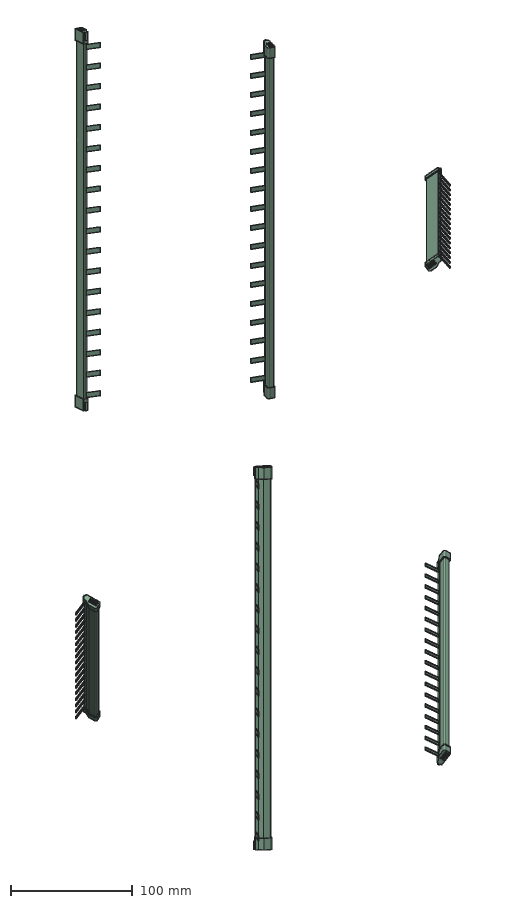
import cadquery as cq

overall_width = 14.83
overall_depth = 15.84
overall_length = 325.8
pin_length = 0.8

cap_length = 9.9
cap_width = 13.8
cap_depth = 6.8
cap_low_depth = 4.7
cap_front_radius = 0.9
cap_back_radius = 1.9
cap_right_chamfer = 0.4
crown_end = 7.4
slope_end = 11.2

recess_left = 1.3
recess_right = 9.0
recess_front = 1.2
recess_back = 4.4
recess_depth = 1.0
recess_rib = 1.0

key_length = 7.0
key_width = 1.5
key_centre_y = 2.4
key_overlap = 1.0

rail_inset = 0.9
rail_width = 13.5
rail_front_radius = 0.6
rail_back_radius = 1.1
rail_right_chamfer = 0.7

tab_count = 18
tab_pitch = 17.6
tab_height = 4.2
tab_thickness = 0.8
tab_lean = 1.3
tab_root_y = 3.0

pin_radius = 0.4
pin_x = 2.0
pin_y = 3.4

total_without_pin = overall_length - pin_length
rail_length = total_without_pin - 2 * cap_length


def section(inset, right, front_radius, back_radius, right_chamfer, z):
    """Domed cross-section with rounded left corners; all faces but the right are moved in by inset."""
    crown_y = cap_depth - inset
    low_y = cap_low_depth - inset
    return (
        cq.Workplane("XY", origin=(0, 0, z))
        .moveTo(inset + front_radius, inset)
        .lineTo(right - right_chamfer, inset)
        .lineTo(right, inset + right_chamfer)
        .lineTo(right, low_y)
        .lineTo(slope_end, low_y)
        .lineTo(crown_end, crown_y)
        .lineTo(inset + back_radius, crown_y)
        .radiusArc((inset, crown_y - back_radius), -back_radius)
        .lineTo(inset, inset + front_radius)
        .radiusArc((inset + front_radius, inset), -front_radius)
        .close()
    )


def block(x0, x1, y0, y1, z0, z1):
    """Box between two opposite corners."""
    size = (x1 - x0, y1 - y0, z1 - z0)
    return cq.Workplane("XY").box(*size, centered=False).translate((x0, y0, z0))


def end_cap(z_bottom, key_bottom, recess_bottom):
    body = section(
        0, cap_width, cap_front_radius, cap_back_radius, cap_right_chamfer, z_bottom
    ).extrude(cap_length)
    key = block(
        cap_width - key_overlap, overall_width,
        key_centre_y - key_width / 2, key_centre_y + key_width / 2,
        key_bottom, key_bottom + key_length,
    )
    recess_top = recess_bottom + recess_depth
    recess = block(recess_left, recess_right, recess_front, recess_back, recess_bottom, recess_top)
    rib_front = (recess_front + recess_back - recess_rib) / 2
    rib = block(
        recess_left, recess_right, rib_front, rib_front + recess_rib, recess_bottom, recess_top
    )
    return body.union(key).cut(recess.cut(rib))


def rail():
    return section(
        rail_inset, rail_width, rail_front_radius, rail_back_radius, rail_right_chamfer, cap_length
    ).extrude(rail_length)


def tab(z_centre):
    """Flat tab leaning towards +X as it rises in Y."""
    tip_x = overall_width - tab_thickness
    root_x = tip_x - tab_lean
    return (
        cq.Workplane("XY", origin=(0, 0, z_centre - tab_height / 2))
        .moveTo(root_x, tab_root_y)
        .lineTo(root_x + tab_thickness, tab_root_y)
        .lineTo(overall_width, overall_depth)
        .lineTo(tip_x, overall_depth)
        .close()
        .extrude(tab_height)
    )


def pin():
    return cq.Workplane("XY").center(pin_x, pin_y).circle(pin_radius).extrude(-pin_length)


lower_cap = end_cap(0, 0, 0)
upper_cap = end_cap(
    total_without_pin - cap_length,
    total_without_pin - key_length,
    total_without_pin - recess_depth,
)
result = rail().union(lower_cap).union(upper_cap)
first_tab_z = total_without_pin / 2 - (tab_count - 1) / 2 * tab_pitch
for i in range(tab_count):
    result = result.union(tab(first_tab_z + i * tab_pitch))
result = result.union(pin())